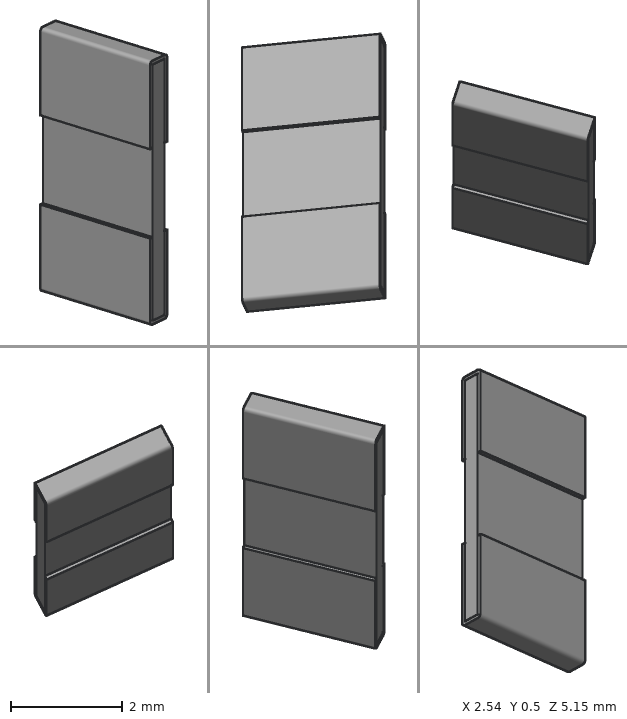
import cadquery as cq

length = 5.15
width = 2.54
thickness = 0.5

plating = 0.075
corner_radius = 0.075
front_reach = 1.705
back_reach = 1.715

core_length = length - 2 * plating
core_thickness = thickness - 2 * plating


def make_core():
    """Plain rectangular bar running through both end caps."""
    return cq.Workplane("XY").box(width, core_thickness, core_length)


def make_cap(end):
    """U-shaped cap around one end of the core; end is +1 for top, -1 for bottom."""
    half_thickness = thickness / 2
    half_core = core_thickness / 2
    outer_z = end * length / 2
    inner_z = end * core_length / 2
    front_z = outer_z - end * front_reach
    back_z = outer_z - end * back_reach

    profile = [
        (-half_thickness, front_z),
        (-half_thickness, outer_z),
        (half_thickness, outer_z),
        (half_thickness, back_z),
        (half_core, back_z),
        (half_core, inner_z),
        (-half_core, inner_z),
        (-half_core, front_z),
    ]
    cap = cq.Workplane("YZ").polyline(profile).close().extrude(width / 2, both=True)

    end_face = ">Z" if end > 0 else "<Z"
    return cap.faces(end_face).edges("|X").fillet(corner_radius)


core = make_core()
caps = [make_cap(end) for end in (1, -1)]

result = cq.Compound.makeCompound([core.val(), *[cap.val() for cap in caps]])